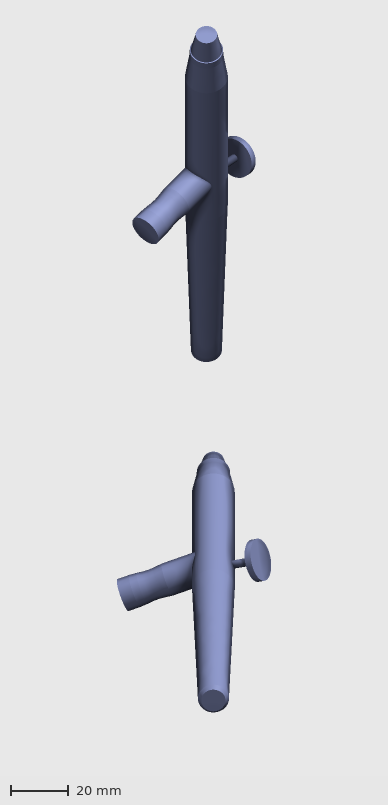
import cadquery as cq
import math

TOTAL_HEIGHT = 184.6
TIP_LENGTH = 8.9
COLLAR_LENGTH = 3.0
SHOULDER_LENGTH = 12.25
BARREL_LENGTH = 74.0
CHAMFER_HEIGHT = 1.5

TIP_BOTTOM = TOTAL_HEIGHT - TIP_LENGTH
SHOULDER_TOP = TIP_BOTTOM - COLLAR_LENGTH
BARREL_TOP = SHOULDER_TOP - SHOULDER_LENGTH
BARREL_BOTTOM = BARREL_TOP - BARREL_LENGTH

BARREL_RADIUS = 14.86 / 2
TIP_RADIUS = 3.75
TIP_BASE_RADIUS = 5.4
COLLAR_TOP_RADIUS = 5.8
COLLAR_BOTTOM_RADIUS = 5.9
HANDLE_END_RADIUS = 5.4
BOTTOM_RADIUS = 4.2

BRANCH_HEIGHT = 105.75
BRANCH_REACH = 33.74
BRANCH_RADIUS = 5.9
NECK_INNER_RADIUS = 5.55
NECK_OUTER_RADIUS = 5.7
WAIST_RADIUS = 5.4
NECK_START = 17.05
WAIST_START = 20.3
WAIST_END = 26.4
NECK_END = 29.2

TOTAL_DEPTH = 53.99
BUTTON_TILT = 20.0
BUTTON_RADIUS = BARREL_RADIUS
BUTTON_THICKNESS = 2.4
STEM_RADIUS = 1.45
BUTTON_BACK_Y = TOTAL_DEPTH - BRANCH_REACH
BUTTON_FACE_Y = BUTTON_BACK_Y - BUTTON_RADIUS * math.sin(math.radians(BUTTON_TILT))
BUTTON_FACE_HEIGHT = 95.8


def make_body():
    """Round body turned about the Z axis."""
    profile = (
        cq.Workplane("XZ")
        .lineTo(BOTTOM_RADIUS, 0)
        .lineTo(HANDLE_END_RADIUS, CHAMFER_HEIGHT)
        .lineTo(BARREL_RADIUS, BARREL_BOTTOM)
        .lineTo(BARREL_RADIUS, BARREL_TOP)
        .lineTo(COLLAR_BOTTOM_RADIUS, SHOULDER_TOP)
        .lineTo(COLLAR_TOP_RADIUS, TIP_BOTTOM)
        .lineTo(TIP_BASE_RADIUS, TIP_BOTTOM)
        .lineTo(TIP_RADIUS, TOTAL_HEIGHT)
        .lineTo(0, TOTAL_HEIGHT)
        .close()
    )
    return profile.revolve(360, (0, 0, 0), (0, 1, 0))


def make_branch():
    """Waisted round branch, turned about a line parallel to Y."""
    waist_middle = (WAIST_START + WAIST_END) / 2
    profile = (
        cq.Workplane("XY")
        .lineTo(BRANCH_RADIUS, 0)
        .lineTo(BRANCH_RADIUS, -NECK_START)
        .lineTo(NECK_INNER_RADIUS, -WAIST_START)
        .threePointArc((WAIST_RADIUS, -waist_middle), (NECK_OUTER_RADIUS, -WAIST_END))
        .lineTo(BRANCH_RADIUS, -NECK_END)
        .lineTo(BRANCH_RADIUS, -BRANCH_REACH)
        .lineTo(0, -BRANCH_REACH)
        .close()
    )
    return profile.revolve(360, (0, 0, 0), (0, 1, 0)).translate((0, 0, BRANCH_HEIGHT))


def make_button():
    """Flat disc on a thin stem that runs back to the body axis."""
    tilt = math.radians(BUTTON_TILT)
    inward = cq.Vector(0, -math.cos(tilt), math.sin(tilt))
    face_plane = cq.Plane(
        origin=(0, BUTTON_FACE_Y, BUTTON_FACE_HEIGHT),
        xDir=(1, 0, 0),
        normal=inward.toTuple(),
    )
    stem_length = BUTTON_FACE_Y / math.cos(tilt)
    disc = cq.Workplane(face_plane).circle(BUTTON_RADIUS).extrude(BUTTON_THICKNESS)
    stem = cq.Workplane(face_plane).circle(STEM_RADIUS).extrude(stem_length)
    return disc.union(stem)


result = make_body().union(make_branch()).union(make_button())